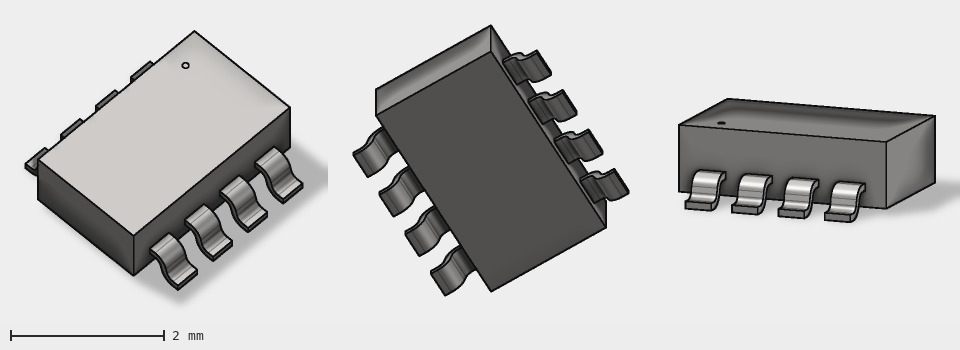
import cadquery as cq
import math

body_length = 2.9
overall_width = 2.79
body_width = 1.75
body_height = 0.89
standoff = 0.1

leads_per_side = 4
lead_pitch = 0.65
lead_width = 0.36
lead_thickness = 0.1
shoulder_top = 0.415
inner_bend_radius = 0.11
leg_lean = math.radians(15)

marker_diameter = 0.087
marker_depth = 0.03
marker_x = -0.565

body_top = standoff + body_height
outer_bend_radius = inner_bend_radius + lead_thickness
lead_reach = (overall_width - body_width) / 2
first_lead_y = lead_pitch * (leads_per_side - 1) / 2

bend_radii = inner_bend_radius + outer_bend_radius
lead_drop = shoulder_top - lead_thickness
leg_length = (lead_drop - bend_radii * (1 - math.sin(leg_lean))) / math.cos(leg_lean)
bend_run = bend_radii * math.cos(leg_lean) + leg_length * math.sin(leg_lean)
flat_length = (lead_reach - bend_run) / 2


def make_marker():
    """Disc in line with the first lead on the -X side."""
    return (
        cq.Workplane("XY", origin=(marker_x, first_lead_y, body_top - marker_depth))
        .circle(marker_diameter / 2)
        .extrude(marker_depth)
    )


def make_body(marker):
    """Plain block with a recess that fits the marker."""
    block = cq.Workplane("XY", origin=(0, 0, standoff)).rect(body_width, body_length).extrude(body_height)
    return block.cut(marker)


def make_lead(y):
    """Lead on the +X side, centred on y and butting against the body."""
    body_side = body_width / 2
    tip = body_side + lead_reach
    upper_bend_x = body_side + flat_length
    upper_bend_z = shoulder_top - outer_bend_radius
    lower_bend_x = tip - flat_length
    lower_bend_z = outer_bend_radius

    def upper_bend_end(radius):
        return (upper_bend_x + radius * math.cos(leg_lean), upper_bend_z + radius * math.sin(leg_lean))

    def lower_bend_end(radius):
        return (lower_bend_x - radius * math.cos(leg_lean), lower_bend_z - radius * math.sin(leg_lean))

    outline = (
        cq.Workplane("XZ", origin=(0, y + lead_width / 2, 0))
        .moveTo(body_side, shoulder_top)
        .lineTo(upper_bend_x, shoulder_top)
        .tangentArcPoint(upper_bend_end(outer_bend_radius), relative=False)
        .lineTo(*lower_bend_end(inner_bend_radius))
        .tangentArcPoint((lower_bend_x, lead_thickness), relative=False)
        .lineTo(tip, lead_thickness)
        .lineTo(tip, 0)
        .lineTo(lower_bend_x, 0)
        .tangentArcPoint(lower_bend_end(outer_bend_radius), relative=False)
        .lineTo(*upper_bend_end(inner_bend_radius))
        .tangentArcPoint((upper_bend_x, shoulder_top - lead_thickness), relative=False)
        .lineTo(body_side, shoulder_top - lead_thickness)
        .close()
    )
    return outline.extrude(lead_width)


marker = make_marker()
body = make_body(marker)

leads = []
for row in range(leads_per_side):
    lead = make_lead(first_lead_y - row * lead_pitch)
    leads.append(lead.val())
    leads.append(lead.mirror("YZ").val())

result = cq.Compound.makeCompound([body.val(), marker.val(), *leads])